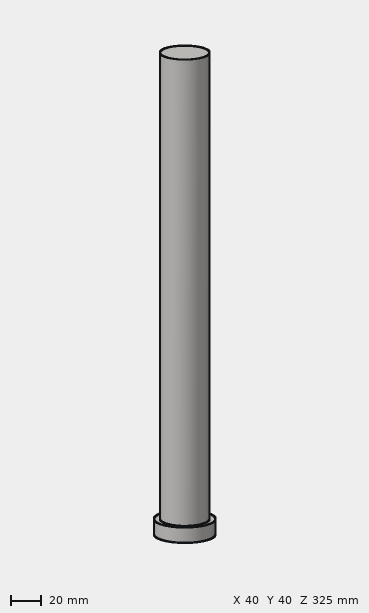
import cadquery as cq

total_length = 325.0
head_diameter = 40.0
head_height = 10.5
shaft_diameter = 32.2

head = cq.Workplane("XY").circle(head_diameter / 2).extrude(head_height)

shaft = cq.Workplane("XY").circle(shaft_diameter / 2).extrude(total_length)

result = head.union(shaft)